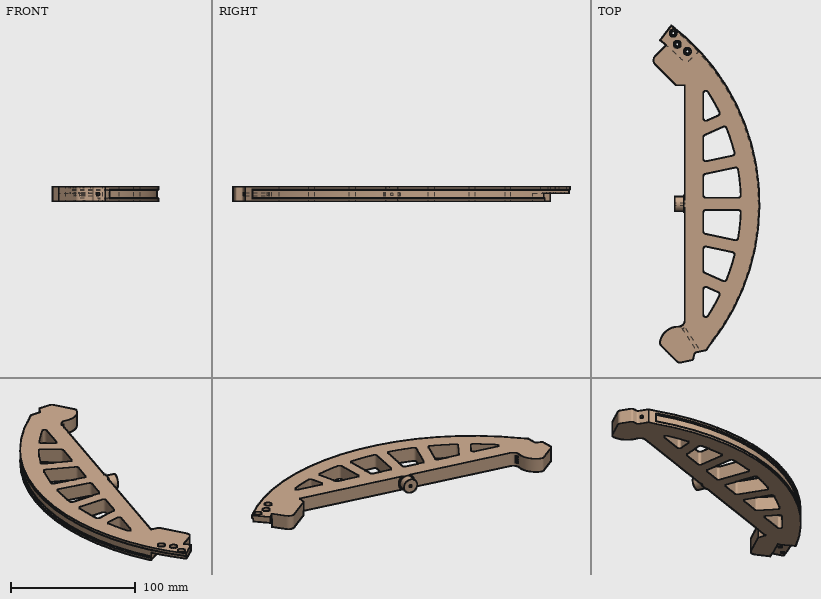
import cadquery as cq
import math

THICKNESS = 12.0
RIM_RADIUS = 180.0
RIM_WIDTH = 15.0
SPAR_FACE_X = 120.0
SPAR_WIDTH = 15.0
RIM_INNER_RADIUS = RIM_RADIUS - RIM_WIDTH
MID_Z = THICKNESS / 2
TIP_ANGLE = 52.6
TAIL_RADIUS = 180.5
TAIL_ANGLE = -40.5
RIM_START_ANGLE = -38.8

UPPER_FOOT_REACH = 147.0
UPPER_FOOT_OFFSET = 15.7
UPPER_FOOT_BASE_Y = 94.9
UPPER_FOOT_ROUND = 5.0

HEEL_X = 114.9
HEEL_Y = -113.2
HEEL_RADIUS = 15.0
HEEL_BLEND = 5.0
SOLE_OFFSET = 8.78
SOLE_ROUND = 3.5
STEP_SLOPE = 12
STEP_LENGTH = 9.5
STEP_HEIGHT = 6.0
STEP_ROUND = 2.0

RIB_PITCH = 12
RIB_COUNT = 5
RIB_WIDTH = 10.0
WINDOW_ROUND = 2.0

GROOVE_MOUTH = 7.5
GROOVE_FLOOR = 5.7
GROOVE_DEPTH = 1.0
GROOVE_START_ANGLE = -38.4

LAP_ROOT_ANGLE = 43
LAP_THICKNESS = 5.5
SCREW_POSITIONS = [(110.8, 136.8), (114.0, 127.8), (122.2, 122.2)]
SCREW_HOLE = 3.0
SCREW_HEAD = 6.0
SCREW_HEAD_DEPTH = 3.0

PEG_DIAMETER = 12.0
PEG_LENGTH = 8.0
PEG_BORE = 2.2
COLLAR_DIAMETER = 13.5
COLLAR_LENGTH = 0.8

CORD_BORE = 2.5
CORD_MOUTH = (117.8, -97.5)
CORD_EXIT = (130.5, -117.0)
CORD_SLOT_HEIGHT = 6.0
CORD_SLOT_DEPTH = 2.2

CUT_MARGIN = 13.5
CUT_MARGIN_ANGLE = 5


def polar(radius, angle):
    radians = math.radians(angle)
    return (radius * math.cos(radians), radius * math.sin(radians))


def shifted(point, distance, angle):
    dx, dy = polar(distance, angle)
    return (point[0] + dx, point[1] + dy)


def rim_sweep(profile, start_angle, end_angle):
    """Sweep a (radius, height) profile about the rim centre."""
    ring = cq.Workplane("XZ").polyline(profile).close().revolve(
        end_angle - start_angle, (0, 0, 0), (0, 1, 0)
    )
    return ring.rotate((0, 0, 0), (0, 0, 1), start_angle)


def round_corner(body, point, radius):
    """Round the upright edge that stands at a corner of the outline."""
    edge = cq.selectors.NearestToPointSelector((point[0], point[1], MID_Z))
    return body.edges("|Z").edges(edge).fillet(radius)


def make_plate():
    tip = polar(RIM_RADIUS, TIP_ANGLE)
    tip_inner = polar(RIM_INNER_RADIUS, TIP_ANGLE)
    rim_start = polar(RIM_RADIUS, RIM_START_ANGLE)
    tail = polar(TAIL_RADIUS, TAIL_ANGLE)

    foot_notch_angle = 45 + math.degrees(math.asin(UPPER_FOOT_OFFSET / RIM_INNER_RADIUS))
    foot_notch = polar(RIM_INNER_RADIUS, foot_notch_angle)
    foot_corner = shifted(polar(UPPER_FOOT_REACH, 45), UPPER_FOOT_OFFSET, 135)
    foot_base = (foot_corner[0] + foot_corner[1] - UPPER_FOOT_BASE_Y, UPPER_FOOT_BASE_Y)

    step_inner = shifted(tail, STEP_LENGTH, 180 + STEP_SLOPE)
    step_outer = shifted(step_inner, STEP_HEIGHT, 270 - STEP_SLOPE)
    sole_sum = -SOLE_OFFSET * math.sqrt(2)
    slope = math.tan(math.radians(STEP_SLOPE))
    toe_x = (sole_sum - step_outer[1] + slope * step_outer[0]) / (1 + slope)
    toe = (toe_x, sole_sum - toe_x)

    heel_centre = (HEEL_X, HEEL_Y)
    sole_distance = (HEEL_X + HEEL_Y) / math.sqrt(2) + SOLE_OFFSET
    heel_start_angle = 225 - math.degrees(math.acos(sole_distance / HEEL_RADIUS))
    heel_end_angle = math.degrees(math.acos((SPAR_FACE_X - HEEL_X) / HEEL_RADIUS))
    heel_start = shifted(heel_centre, HEEL_RADIUS, heel_start_angle)
    heel_middle = shifted(heel_centre, HEEL_RADIUS, (heel_start_angle + heel_end_angle) / 2)
    heel_end = shifted(heel_centre, HEEL_RADIUS, heel_end_angle)

    body = (
        cq.Workplane("XY")
        .moveTo(*tail)
        .lineTo(*rim_start)
        .threePointArc((RIM_RADIUS, 0), tip)
        .lineTo(*tip_inner)
        .threePointArc(polar(RIM_INNER_RADIUS, (TIP_ANGLE + foot_notch_angle) / 2), foot_notch)
        .lineTo(*foot_corner)
        .lineTo(*foot_base)
        .lineTo(SPAR_FACE_X, UPPER_FOOT_BASE_Y)
        .lineTo(*heel_end)
        .threePointArc(heel_middle, heel_start)
        .lineTo(*toe)
        .lineTo(*step_outer)
        .lineTo(*step_inner)
        .close()
        .extrude(THICKNESS)
    )
    corner_rounds = [
        (foot_corner, UPPER_FOOT_ROUND),
        (heel_end, HEEL_BLEND),
        (heel_start, SOLE_ROUND),
        (toe, SOLE_ROUND),
        (step_outer, STEP_ROUND),
        (step_inner, STEP_ROUND),
    ]
    for point, radius in corner_rounds:
        body = round_corner(body, point, radius)
    return body


def make_windows():
    """Space between spar and rim, divided by ribs that point at the rim centre."""
    window_x = SPAR_FACE_X + SPAR_WIDTH
    half_chord = math.sqrt(RIM_INNER_RADIUS**2 - window_x**2)
    windows = (
        cq.Workplane("XY")
        .moveTo(window_x, -half_chord)
        .threePointArc((RIM_INNER_RADIUS, 0), (window_x, half_chord))
        .close()
        .extrude(THICKNESS)
    )
    for index in range(RIB_COUNT):
        angle = (index - (RIB_COUNT - 1) / 2) * RIB_PITCH
        rib = cq.Workplane("XY").box(2 * RIM_RADIUS, RIB_WIDTH, THICKNESS, centered=(True, True, False))
        windows = windows.cut(rib.rotate((0, 0, 0), (0, 0, 1), angle))
    return windows.edges("|Z").fillet(WINDOW_ROUND)


def make_groove():
    floor_radius = RIM_RADIUS - GROOVE_DEPTH
    outside_radius = RIM_RADIUS + CUT_MARGIN
    profile = [
        (floor_radius, MID_Z - GROOVE_FLOOR / 2),
        (RIM_RADIUS, MID_Z - GROOVE_MOUTH / 2),
        (outside_radius, MID_Z - GROOVE_MOUTH / 2),
        (outside_radius, MID_Z + GROOVE_MOUTH / 2),
        (RIM_RADIUS, MID_Z + GROOVE_MOUTH / 2),
        (floor_radius, MID_Z + GROOVE_FLOOR / 2),
    ]
    return rim_sweep(profile, GROOVE_START_ANGLE, TIP_ANGLE + CUT_MARGIN_ANGLE)


def make_lap_cut():
    outside_radius = RIM_RADIUS + CUT_MARGIN
    lap_underside = THICKNESS - LAP_THICKNESS
    profile = [
        (RIM_INNER_RADIUS, 0),
        (outside_radius, 0),
        (outside_radius, lap_underside),
        (RIM_INNER_RADIUS, lap_underside),
    ]
    return rim_sweep(profile, LAP_ROOT_ANGLE, TIP_ANGLE + CUT_MARGIN_ANGLE)


def make_screw_holes():
    top = cq.Workplane("XY", origin=(0, 0, THICKNESS)).pushPoints(SCREW_POSITIONS)
    heads = top.circle(SCREW_HEAD / 2).extrude(-SCREW_HEAD_DEPTH)
    shanks = top.circle(SCREW_HOLE / 2).extrude(-THICKNESS)
    return heads.union(shanks)


def add_peg(body):
    """Bored peg on the spar face; its collar is trimmed flush with the plate faces."""
    spar_face = cq.Workplane("YZ", origin=(SPAR_FACE_X, 0, MID_Z))
    peg = spar_face.circle(PEG_DIAMETER / 2).extrude(-PEG_LENGTH)
    collar = spar_face.circle(COLLAR_DIAMETER / 2).extrude(-COLLAR_LENGTH)
    slab = cq.Workplane("XY").box(2 * RIM_RADIUS, COLLAR_DIAMETER, THICKNESS, centered=(True, True, False))
    bore = spar_face.circle(PEG_BORE / 2).extrude(-PEG_LENGTH)
    return body.union(peg).union(collar.intersect(slab)).cut(bore)


def make_cord_passage():
    """Straight bore with a taller slot at its mouth."""
    run_x = CORD_EXIT[0] - CORD_MOUTH[0]
    run_y = CORD_EXIT[1] - CORD_MOUTH[1]
    direction = cq.Vector(run_x, run_y, 0)
    axis = cq.Plane(origin=(*CORD_MOUTH, MID_Z), xDir=(0, 0, 1), normal=direction)
    bore = cq.Workplane(axis).circle(CORD_BORE / 2).extrude(direction.Length + CORD_BORE)
    slot = cq.Workplane(axis).rect(CORD_SLOT_HEIGHT, CORD_BORE).extrude(CORD_SLOT_DEPTH, both=True)
    return bore.union(slot)


plate = make_plate()
for cutter in (make_windows(), make_groove(), make_lap_cut(), make_screw_holes(), make_cord_passage()):
    plate = plate.cut(cutter)
result = add_peg(plate)